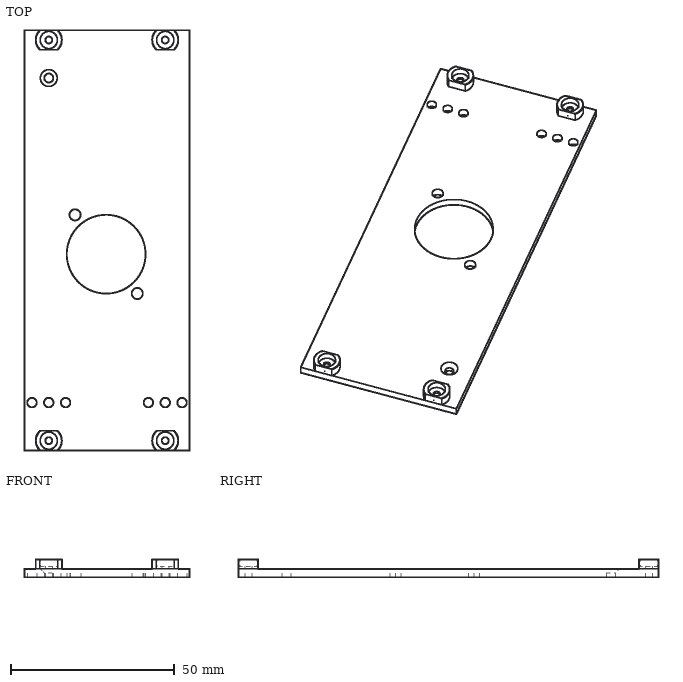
import cadquery as cq

PANEL_WIDTH = 50.5
PANEL_LENGTH = 128.4
PANEL_THICKNESS = 2.6
TOTAL_HEIGHT = 5.5

COLLAR_DIAMETER = 8.1
COLLAR_CHAMFER = 0.1
COLLAR_FLAT_WIDTH = 6.0
COLLAR_HEIGHT = TOTAL_HEIGHT - PANEL_THICKNESS
RECESS_DIAMETER = 5.3
RECESS_FLOOR = 0.8
SCREW_HOLE_DIAMETER = 2.0
COLUMN_PITCH = 35.6
COLUMN_EDGE_OFFSET = 7.5

COUNTERSINK_DIAMETER = 5.1
COUNTERSINK_HOLE_DIAMETER = 2.7
COUNTERSINK_ANGLE = 90.0
COUNTERSINK_EDGE_OFFSET = 14.6

OPENING_DIAMETER = 24.0
OPENING_X = -0.3
OPENING_Y = -4.2
FIXING_HOLE_DIAMETER = 3.3
FIXING_SPACING_X = 19.0
FIXING_SPACING_Y = 24.0

ROW_HOLE_DIAMETER = 2.8
ROW_HOLE_PITCH = 5.1
ROW_EDGE_OFFSET = 14.6

LEFT_COLUMN_X = -PANEL_WIDTH / 2 + COLUMN_EDGE_OFFSET
COLUMN_XS = [LEFT_COLUMN_X, LEFT_COLUMN_X + COLUMN_PITCH]
COLLAR_Y = PANEL_LENGTH / 2 - COLLAR_FLAT_WIDTH / 2
COLLAR_POINTS = [(x, y) for x in COLUMN_XS for y in (-COLLAR_Y, COLLAR_Y)]


def cut_through_holes(body, points, diameter):
    """Drill the same round hole through the body at each point."""
    return body.faces(">Z").workplane(origin=(0, 0, 0)).pushPoints(points).hole(diameter)


def make_panel():
    """Flat rectangular panel with all of its holes."""
    panel = cq.Workplane("XY").box(
        PANEL_WIDTH, PANEL_LENGTH, PANEL_THICKNESS, centered=(True, True, False)
    )

    panel = cut_through_holes(panel, COLLAR_POINTS, SCREW_HOLE_DIAMETER)

    fixing_x = FIXING_SPACING_X / 2
    fixing_y = FIXING_SPACING_Y / 2
    fixing_points = [
        (OPENING_X - fixing_x, OPENING_Y + fixing_y),
        (OPENING_X + fixing_x, OPENING_Y - fixing_y),
    ]
    panel = cut_through_holes(panel, [(OPENING_X, OPENING_Y)], OPENING_DIAMETER)
    panel = cut_through_holes(panel, fixing_points, FIXING_HOLE_DIAMETER)

    row_y = -PANEL_LENGTH / 2 + ROW_EDGE_OFFSET
    row_points = [(x + step * ROW_HOLE_PITCH, row_y) for x in COLUMN_XS for step in (-1, 0, 1)]
    panel = cut_through_holes(panel, row_points, ROW_HOLE_DIAMETER)

    countersink_y = PANEL_LENGTH / 2 - COUNTERSINK_EDGE_OFFSET
    return (
        panel.faces(">Z")
        .workplane(origin=(0, 0, 0))
        .pushPoints([(LEFT_COLUMN_X, countersink_y)])
        .cskHole(COUNTERSINK_HOLE_DIAMETER, COUNTERSINK_DIAMETER, COUNTERSINK_ANGLE)
    )


def make_collar(x, y):
    """Round collar standing on the panel, with two flats, a screw-head recess and a screw hole."""
    base = cq.Workplane("XY", origin=(x, y, PANEL_THICKNESS))
    round_post = base.circle(COLLAR_DIAMETER / 2).extrude(COLLAR_HEIGHT)
    round_post = round_post.faces(">Z").chamfer(COLLAR_CHAMFER)
    between_flats = base.rect(COLLAR_DIAMETER, COLLAR_FLAT_WIDTH).extrude(COLLAR_HEIGHT)
    collar = round_post.intersect(between_flats)
    return (
        collar.faces(">Z")
        .workplane(origin=(x, y, 0))
        .cboreHole(SCREW_HOLE_DIAMETER, RECESS_DIAMETER, COLLAR_HEIGHT - RECESS_FLOOR)
    )


panel = make_panel()
collars = [make_collar(x, y) for x, y in COLLAR_POINTS]

result = cq.Compound.makeCompound([panel.val(), *[collar.val() for collar in collars]])